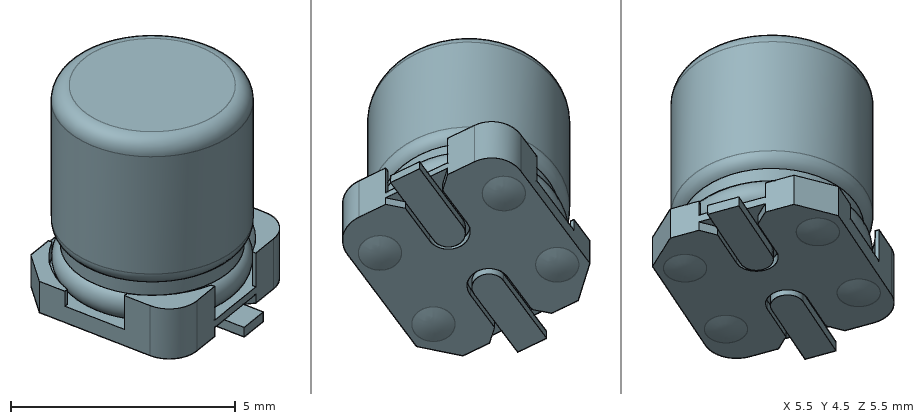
import cadquery as cq
import math

length = 5.5
height = 5.5
can_diameter = 4.5
can_radius = can_diameter / 2
half_base = can_radius

can_bottom = 0.5
can_rounding = 0.4
groove_radius = 4.1 / 2
groove_bottom = 1.245
groove_top = 1.6

base_bottom = 0.06
low_post_top = 0.9
high_post_top = 1.41
corner_size = 0.755
seat_clearance = 0.05
notch_width = 1.605

foot_radius = 0.481
foot_height = base_bottom
foot_x = 1.155
foot_y = 1.605

lead_width = 0.755
lead_thickness = 0.26
lead_inner_end = 0.5
pin_radius = 0.55 / 2
pin_x = lead_inner_end + lead_width / 2
channel_top = 0.3
channel_radius = 0.485
channel_mouth = notch_width / 2


def make_can():
    """Turned can with rounded ends and a crimp groove with rounded shoulders."""
    arc_centre_radius = can_radius - can_rounding
    shoulder_height = math.sqrt(can_rounding**2 - (groove_radius - arc_centre_radius) ** 2)
    upper_start = groove_top + shoulder_height
    profile = (
        cq.Workplane("XZ")
        .moveTo(0, can_bottom)
        .lineTo(arc_centre_radius, can_bottom)
        .radiusArc((groove_radius, groove_bottom), -can_rounding)
        .lineTo(groove_radius, groove_top)
        .radiusArc((can_radius, upper_start), -can_rounding)
        .lineTo(can_radius, height - can_rounding)
        .radiusArc((arc_centre_radius, height), -can_rounding)
        .lineTo(0, height)
        .close()
    )
    return profile.revolve(360, (0, 0, 0), (0, 1, 0))


def base_block():
    """Square block chamfered on -X and rounded on +X, with lower corners on -X."""
    width = 2 * half_base
    block = (
        cq.Workplane("XY", origin=(0, 0, base_bottom))
        .rect(width, width)
        .extrude(high_post_top - base_bottom)
        .edges("|Z and <X").chamfer(corner_size)
        .edges("|Z and >X").fillet(corner_size)
    )
    low_side = (
        cq.Workplane("XY", origin=(-half_base / 2, 0, low_post_top))
        .rect(half_base, width)
        .extrude(high_post_top - low_post_top)
    )
    return block.cut(low_side)


def can_seat():
    """Round seat for the can plus the notches that separate the corner posts."""
    depth = high_post_top - can_bottom
    floor = cq.Workplane("XY", origin=(0, 0, can_bottom))
    seat = floor.circle(can_radius + seat_clearance).extrude(depth)
    notch_x = floor.rect(2 * half_base, notch_width).extrude(depth)
    notch_y = floor.rect(notch_width, 2 * half_base).extrude(depth)
    return seat.union(notch_x).union(notch_y)


def lead_channel():
    """Channel on the -X side: a 45 degree mouth, parallel walls and a round end."""
    mouth_end = half_base - (channel_mouth - channel_radius)
    return (
        cq.Workplane("XY", origin=(0, 0, base_bottom))
        .moveTo(-half_base, channel_mouth)
        .lineTo(-mouth_end, channel_radius)
        .lineTo(-pin_x, channel_radius)
        .threePointArc((-pin_x + channel_radius, 0), (-pin_x, -channel_radius))
        .lineTo(-mouth_end, -channel_radius)
        .lineTo(-half_base, -channel_mouth)
        .close()
        .extrude(channel_top - base_bottom)
    )


def pin():
    """Round pin on the -X side, from the top of the lead to the can."""
    return (
        cq.Workplane("XY", origin=(-pin_x, 0, lead_thickness))
        .circle(pin_radius)
        .extrude(can_bottom - lead_thickness)
    )


def foot():
    """Shallow spherical cap whose lowest point is on the mounting plane."""
    sphere_radius = (foot_radius**2 + foot_height**2) / (2 * foot_height)
    return (
        cq.Workplane("XZ")
        .lineTo(0, base_bottom)
        .lineTo(foot_radius, base_bottom)
        .radiusArc((0, 0), sphere_radius)
        .close()
        .revolve(360, (0, 0, 0), (0, 1, 0))
    )


def make_base():
    """Insulating base with the can seat, lead channels, pin holes and feet."""
    base = base_block().cut(can_seat())
    for angle in (0, 180):
        opening = lead_channel().union(pin())
        base = base.cut(opening.rotate((0, 0, 0), (0, 0, 1), angle))
    for x in (-foot_x, foot_x):
        for y in (-foot_y, foot_y):
            base = base.union(foot().translate((x, y, 0)))
    return base.solids()


def make_lead(angle):
    """Flat lead with a rounded inner end and its pin, turned about Z by angle."""
    half_width = lead_width / 2
    strip = (
        cq.Workplane("XY")
        .moveTo(-length / 2, half_width)
        .lineTo(-pin_x, half_width)
        .threePointArc((-lead_inner_end, 0), (-pin_x, -half_width))
        .lineTo(-length / 2, -half_width)
        .close()
        .extrude(lead_thickness)
    )
    return strip.union(pin()).rotate((0, 0, 0), (0, 0, 1), angle).solids()


can = make_can()
base = make_base()
leads = [make_lead(angle) for angle in (0, 180)]

result = cq.Compound.makeCompound([can.val(), base.val(), *[lead.val() for lead in leads]])